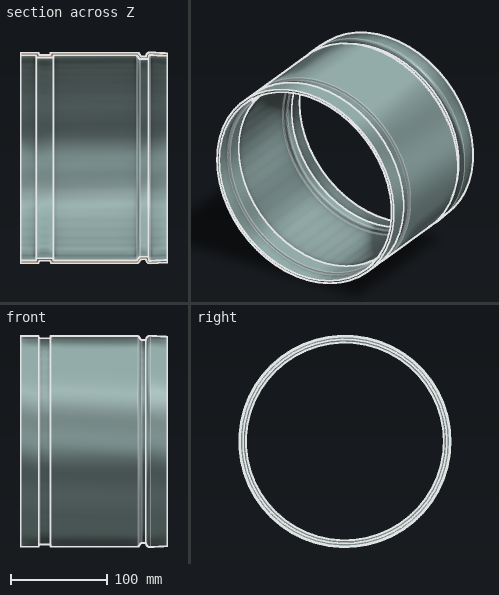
import cadquery as cq
import math

length = 152.4
tube_radius = 219.07 / 2
bore_radius = 213.08 / 2
wall = tube_radius - bore_radius

square_start = 19.05
square_width = 11.9
square_end = square_start + square_width
square_radius = 214.4 / 2
square_bead_radius = 208.41 / 2
square_round = 0.8
square_bead_start = square_start - wall
square_bead_end = square_end + wall

wedge_radius = 211.2 / 2
wedge_bead_radius = 205.21 / 2
wedge_round = 1.5
wedge_start = 122.2
wedge_run = 2.85
wedge_bottom_start = wedge_start + wedge_run
wedge_end = 130.1

crest_radius = 219.73 / 2
flare_round = crest_radius - wedge_radius
crest_x = wedge_end + flare_round
lip_end_radius = 217.8 / 2

slope_angle = math.atan2(tube_radius - wedge_radius, wedge_run)
slope_shift = wall * math.tan(slope_angle / 2)
wedge_bead_start = wedge_start - slope_shift
wedge_bead_bottom_start = wedge_bottom_start - slope_shift
wedge_bead_end = wedge_end + wall
inner_flare_round = flare_round - wall
inner_crest_radius = crest_radius - wall
inner_lip_end_radius = lip_end_radius - wall

outer_corners = [
    (0, tube_radius, 0),
    (square_start, tube_radius, square_round),
    (square_start, square_radius, square_round),
    (square_end, square_radius, square_round),
    (square_end, tube_radius, square_round),
    (wedge_start, tube_radius, wedge_round),
    (wedge_bottom_start, wedge_radius, wedge_round),
    (wedge_end, wedge_radius, 0),
    (wedge_end, crest_radius, flare_round),
    (crest_x, crest_radius, 0),
    (length, lip_end_radius, 0),
]
inner_corners = [
    (length, inner_lip_end_radius, 0),
    (crest_x, inner_crest_radius, 0),
    (wedge_bead_end, inner_crest_radius, inner_flare_round),
    (wedge_bead_end, wedge_bead_radius, wedge_round),
    (wedge_bead_bottom_start, wedge_bead_radius, wedge_round),
    (wedge_bead_start, bore_radius, wedge_round),
    (square_bead_end, bore_radius, square_round),
    (square_bead_end, square_bead_radius, square_round),
    (square_bead_start, square_bead_radius, square_round),
    (square_bead_start, bore_radius, square_round),
    (0, bore_radius, 0),
]


def line_unless_there(sketch, current, target):
    """Straight line to the target, left out where the sketch already ends on it."""
    shortest_line = 1e-6
    if (target - current).Length > shortest_line:
        sketch = sketch.lineTo(target.x, target.y)
    return sketch


def rounded_outline(corners):
    """Closed outline through the corners, each one rounded by a tangent arc of its radius."""
    points = [cq.Vector(x, radius) for x, radius, _ in corners]
    current = points[0]
    sketch = cq.Workplane("XY").moveTo(current.x, current.y)
    for i in range(1, len(corners)):
        corner = points[i]
        rounding = corners[i][2]
        if rounding == 0:
            sketch = line_unless_there(sketch, current, corner)
            current = corner
            continue
        back = (points[i - 1] - corner).normalized()
        ahead = (points[i + 1] - corner).normalized()
        half_angle = back.getAngle(ahead) / 2
        setback = rounding / math.tan(half_angle)
        arc_start = corner + back * setback
        arc_end = corner + ahead * setback
        bisector = (back + ahead).normalized()
        arc_middle = corner + bisector * (rounding / math.sin(half_angle) - rounding)
        sketch = line_unless_there(sketch, current, arc_start)
        sketch = sketch.threePointArc((arc_middle.x, arc_middle.y), (arc_end.x, arc_end.y))
        current = arc_end
    return sketch.close()


wall_section = rounded_outline(outer_corners + inner_corners)
result = wall_section.revolve(360, (0, 0, 0), (1, 0, 0))